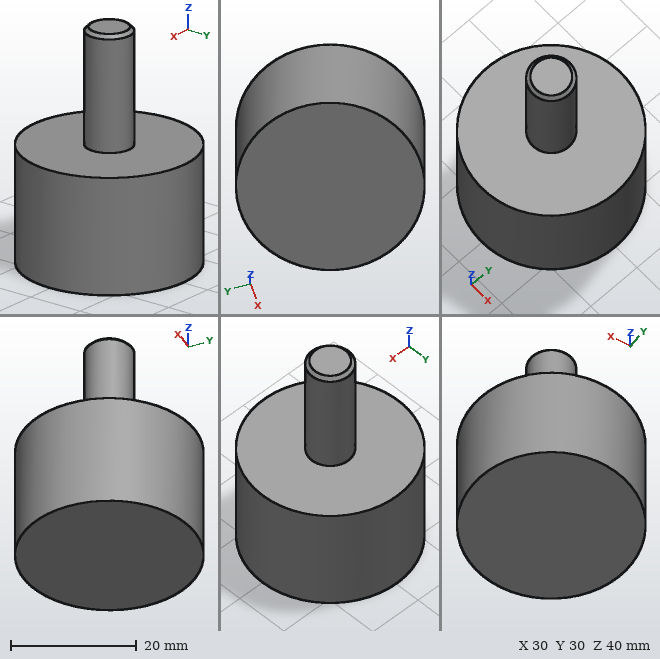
import cadquery as cq

body_diameter = 30.0
body_height = 20.0
stud_diameter = 8.0
stud_length = 20.0
stud_chamfer = 0.7

body = cq.Workplane("XY").circle(body_diameter / 2).extrude(body_height)

stud = (
    cq.Workplane("XY")
    .workplane(offset=body_height)
    .circle(stud_diameter / 2)
    .extrude(stud_length)
    .faces(">Z")
    .chamfer(stud_chamfer)
)

result = body.union(stud)